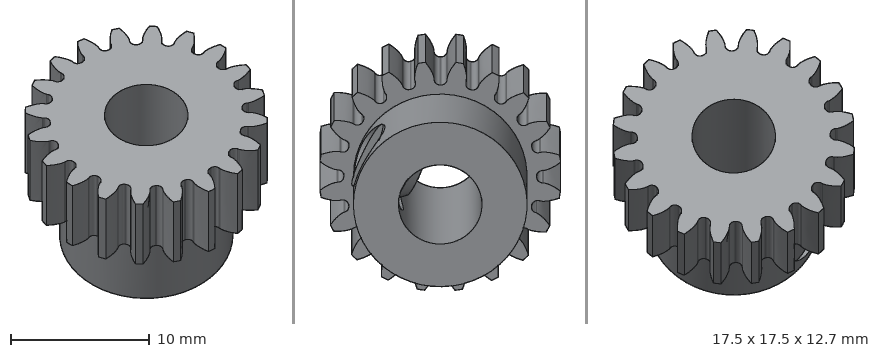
import cadquery as cq
import math

tooth_count = 20
tip_diameter = 17.46
pressure_angle = math.radians(20)
dedendum_factor = 1.25
root_land_width = 0.07
gear_width = 6.35
hub_length = 6.34
hub_diameter = 12.5
bore_diameter = 6.0

screw_diameter = 4.92
screw_tip_y = 2.03
screw_outer_end_y = 5.9
screw_tip_diameter = 2.72
screw_neck_diameter = 4.02
screw_cone_end_y = 2.8
screw_shoulder_y = 2.9

tip_radius = tip_diameter / 2
module = tip_diameter / (tooth_count + 2)
pitch_radius = module * tooth_count / 2
base_radius = pitch_radius * math.cos(pressure_angle)
root_radius = pitch_radius - dedendum_factor * module
tooth_pitch = 2 * math.pi / tooth_count
flank_points = 6

base_half_angle = tooth_pitch / 4 + math.tan(pressure_angle) - pressure_angle
gap_half_angle = tooth_pitch / 2 - base_half_angle
land_half_angle = root_land_width / 2 / root_radius
fillet_angle = gap_half_angle - land_half_angle
fillet_radius = root_radius * math.sin(fillet_angle) / (1 - math.sin(fillet_angle))
fillet_center_radius = root_radius + fillet_radius
flank_foot_radius = fillet_center_radius * math.cos(fillet_angle)

screw_z = hub_length / 2


def polar(radius, angle):
    """Point at a radius and an angle measured counterclockwise from +X."""
    return (radius * math.cos(angle), radius * math.sin(angle))


def flank_half_angle(radius):
    """Half the angle spanned by a tooth between its involute flanks at a radius."""
    roll_angle = math.acos(base_radius / radius)
    return base_half_angle - (math.tan(roll_angle) - roll_angle)


def flank_radii():
    """Radii from the base circle to the tip, closer together near the base."""
    steps = [(i / flank_points) ** 2 for i in range(flank_points + 1)]
    return [base_radius + (tip_radius - base_radius) * step for step in steps]


def fillet_middle(gap_center, side):
    """Midpoint of a root fillet; side is -1 before the gap center and +1 after it."""
    center_angle = gap_center + side * land_half_angle
    arc_turn = (math.pi + math.pi / 2 + fillet_angle) / 2
    arc_direction = center_angle + side * arc_turn
    center_x, center_y = polar(fillet_center_radius, center_angle)
    offset_x, offset_y = polar(fillet_radius, arc_direction)
    return (center_x + offset_x, center_y + offset_y)


def add_tooth(outline, tooth_center):
    """Continue the outline over one tooth, from flank foot to flank foot."""
    radii = flank_radii()
    rising = [polar(r, tooth_center - flank_half_angle(r)) for r in radii]
    falling = [polar(r, tooth_center + flank_half_angle(r)) for r in reversed(radii)]
    return (
        outline.lineTo(*rising[0])
        .spline(rising[1:], includeCurrent=True)
        .threePointArc(polar(tip_radius, tooth_center), falling[0])
        .spline(falling[1:], includeCurrent=True)
        .lineTo(*polar(flank_foot_radius, tooth_center + base_half_angle))
    )


def add_gap(outline, gap_center):
    """Continue the outline through one gap: fillet, root land, fillet."""
    return (
        outline.threePointArc(
            fillet_middle(gap_center, -1), polar(root_radius, gap_center - land_half_angle)
        )
        .threePointArc(
            polar(root_radius, gap_center), polar(root_radius, gap_center + land_half_angle)
        )
        .threePointArc(
            fillet_middle(gap_center, 1), polar(flank_foot_radius, gap_center + gap_half_angle)
        )
    )


def gear_outline():
    """Closed outline of the toothed rim, one tooth and one gap at a time."""
    outline = cq.Workplane("XY").moveTo(*polar(flank_foot_radius, -base_half_angle))
    for tooth in range(tooth_count):
        tooth_center = tooth * tooth_pitch
        outline = add_tooth(outline, tooth_center)
        outline = add_gap(outline, tooth_center + tooth_pitch / 2)
    return outline.close()


def make_screw_hole():
    """Radial hole through the +Y wall of the hub, into the bore."""
    return (
        cq.Workplane("XZ", origin=(0, 0, screw_z))
        .circle(screw_diameter / 2)
        .extrude(-hub_diameter / 2)
    )


def make_pinion():
    """Toothed rim on top of a plain hub, with a through bore and a radial screw hole."""
    rim = gear_outline().extrude(gear_width).translate((0, 0, hub_length))
    hub = cq.Workplane("XY").circle(hub_diameter / 2).extrude(hub_length)
    bore = cq.Workplane("XY").circle(bore_diameter / 2).extrude(hub_length + gear_width)
    return hub.union(rim).cut(bore).cut(make_screw_hole())


def make_set_screw():
    """Headless screw whose conical tip on a short neck reaches into the bore."""
    half_profile = (
        cq.Workplane("XY")
        .moveTo(0, screw_tip_y)
        .lineTo(screw_tip_diameter / 2, screw_tip_y)
        .lineTo(screw_neck_diameter / 2, screw_cone_end_y)
        .lineTo(screw_neck_diameter / 2, screw_shoulder_y)
        .lineTo(screw_diameter / 2, screw_shoulder_y)
        .lineTo(screw_diameter / 2, screw_outer_end_y)
        .lineTo(0, screw_outer_end_y)
        .close()
    )
    return half_profile.revolve(360, (0, 0, 0), (0, 1, 0)).translate((0, 0, screw_z))


pinion = make_pinion()
set_screw = make_set_screw()

result = cq.Compound.makeCompound([pinion.solids().val(), set_screw.val()])